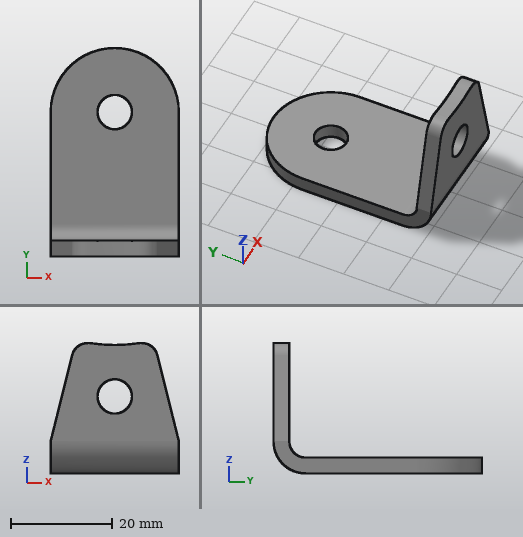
import cadquery as cq
import math


plate_thickness = 3.175
bracket_width = 25.4
foot_length = 41.275
bracket_height = 25.81
inner_bend_radius = plate_thickness
hole_diameter = 6.75

tab_hole_height = 15.24
taper_angle = 14.0
tab_corner_radius = 3.175
scallop_half_width = 4.86
scallop_radius = 31.75

half_width = bracket_width / 2
outer_bend_radius = inner_bend_radius + plate_thickness
foot_end_center_y = foot_length - half_width
tab_straight_height = bracket_height - outer_bend_radius
tab_top_half_width = half_width - tab_straight_height * math.tan(math.radians(taper_angle))
scallop_center_height = bracket_height + math.sqrt(scallop_radius**2 - scallop_half_width**2)


def make_foot():
    """Flat foot with a full-round end and a hole concentric with it."""
    return (
        cq.Workplane("XY")
        .moveTo(-half_width, outer_bend_radius)
        .lineTo(half_width, outer_bend_radius)
        .lineTo(half_width, foot_end_center_y)
        .threePointArc((0, foot_length), (-half_width, foot_end_center_y))
        .close()
        .extrude(plate_thickness)
        .faces(">Z")
        .workplane(origin=(0, foot_end_center_y, 0))
        .hole(hole_diameter)
    )


def make_bend():
    """Quarter-round bend joining the foot to the tab."""
    diagonal = math.sqrt(0.5)
    outer_middle = outer_bend_radius * (1 - diagonal)
    inner_middle = outer_bend_radius - inner_bend_radius * diagonal
    return (
        cq.Workplane("YZ", origin=(-half_width, 0, 0))
        .moveTo(outer_bend_radius, 0)
        .threePointArc((outer_middle, outer_middle), (0, outer_bend_radius))
        .lineTo(plate_thickness, outer_bend_radius)
        .threePointArc((inner_middle, inner_middle), (outer_bend_radius, plate_thickness))
        .close()
        .extrude(bracket_width)
    )


def make_tab_cutter(center_height, radius):
    """Round cutter through the tab thickness, centered on the symmetry plane."""
    return (
        cq.Workplane("XZ")
        .center(0, center_height)
        .circle(radius)
        .extrude(-plate_thickness)
    )


def make_tab():
    """Tapered upright tab with rounded corners, a scalloped top edge and a hole."""
    blank = (
        cq.Workplane("XZ")
        .moveTo(-half_width, outer_bend_radius)
        .lineTo(half_width, outer_bend_radius)
        .lineTo(tab_top_half_width, bracket_height)
        .lineTo(-tab_top_half_width, bracket_height)
        .close()
        .extrude(-plate_thickness)
    )
    rounded = blank.faces(">Z").edges("|Y").fillet(tab_corner_radius)
    scallop = make_tab_cutter(scallop_center_height, scallop_radius)
    hole = make_tab_cutter(tab_hole_height, hole_diameter / 2)
    return rounded.cut(scallop).cut(hole)


result = make_foot().union(make_bend()).union(make_tab())